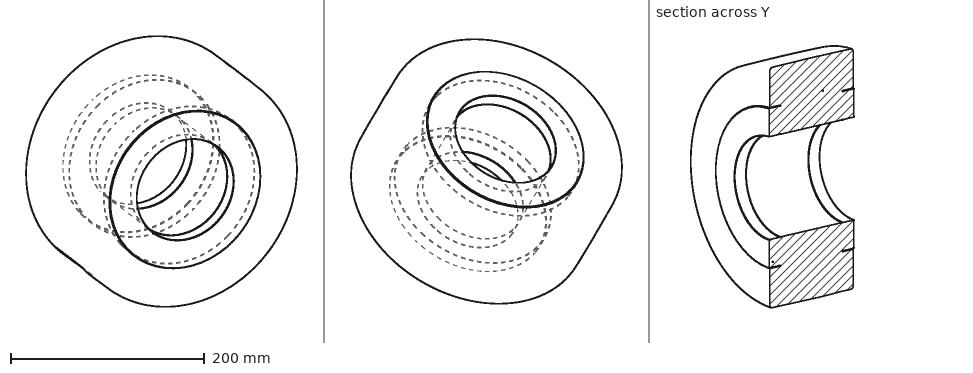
import cadquery as cq

outer_diameter = 260.0
overall_width = 115.0
ring_width = 112.8

tread_edge_diameter = 259.0
shoulder_radius = 4.0

washer_diameter = 172.0
ring_bore_diameter = 173.0
washer_thickness = 15.5
washer_chamfer = 0.5

bore_diameter = 110.0
washer_bore_diameter = 110.2


def tube(outer, inner, x_start, length):
    """Ring about the X axis, starting at x_start."""
    return (
        cq.Workplane("YZ", origin=(x_start, 0, 0))
        .circle(outer / 2)
        .circle(inner / 2)
        .extrude(length)
    )


def crowned_roller():
    """Solid barrel with a crowned tread and rounded shoulders."""
    half_width = ring_width / 2
    edge_radius = tread_edge_diameter / 2
    profile = (
        cq.Workplane("XY")
        .moveTo(-half_width, 0)
        .lineTo(-half_width, edge_radius)
        .threePointArc((0, outer_diameter / 2), (half_width, edge_radius))
        .lineTo(half_width, 0)
        .close()
    )
    roller = profile.revolve(360, (0, 0, 0), (1, 0, 0))
    return roller.edges("<X or >X").fillet(shoulder_radius)


result = crowned_roller().faces("<X").workplane().hole(bore_diameter)

half_overall = overall_width / 2
for x_start in (-half_overall, half_overall - washer_thickness):
    pocket = tube(ring_bore_diameter, bore_diameter, x_start, washer_thickness)
    washer = tube(washer_diameter, washer_bore_diameter, x_start, washer_thickness)
    washer = washer.faces("<X or >X").edges().chamfer(washer_chamfer)
    result = result.cut(pocket).union(washer)